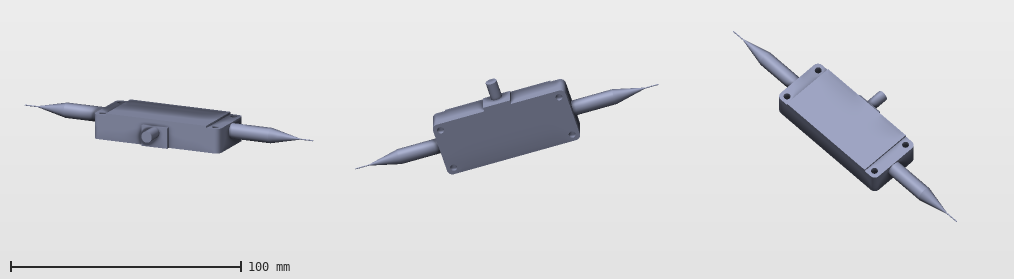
import cadquery as cq

housing_length = 60.5
housing_width = 25.3
housing_height = 11.0
corner_radius = 2.5

lid_length = 48.0
total_height = 12.0

screw_hole_diameter = 3.0
screw_pitch_x = 54.0
screw_pitch_y = 19.0

total_length = 138.0
sleeve_radius = 6.8 / 2
fibre_radius = 0.5 / 2
sleeve_end = 49.0
boot_end = 62.8
lead_y = 0.8
lead_z = 7.2

plate_width = 12.3
plate_height = 9.2
plate_thickness = 1.8
pin_diameter = 5.0
pin_z = 6.6
total_depth = 35.0

housing_front = -housing_width / 2
connector_reach = total_depth - housing_width


def make_housing():
    block = (
        cq.Workplane("XY")
        .box(housing_length, housing_width, housing_height, centered=(True, True, False))
        .edges("|Z")
        .fillet(corner_radius)
    )
    lid = cq.Workplane("XY").box(lid_length, housing_width, total_height, centered=(True, True, False))
    screw_holes = (
        cq.Workplane("XY")
        .rect(screw_pitch_x, screw_pitch_y, forConstruction=True)
        .vertices()
        .circle(screw_hole_diameter / 2)
        .extrude(total_height)
    )
    return block.union(lid).cut(screw_holes)


def make_leads():
    """Both leads as one profile, revolved about an axis along X through the housing."""
    half_length = total_length / 2
    return (
        cq.Workplane("XZ", origin=(0, lead_y, lead_z))
        .moveTo(-half_length, 0)
        .lineTo(-half_length, fibre_radius)
        .lineTo(-boot_end, fibre_radius)
        .lineTo(-sleeve_end, sleeve_radius)
        .lineTo(sleeve_end, sleeve_radius)
        .lineTo(boot_end, fibre_radius)
        .lineTo(half_length, fibre_radius)
        .lineTo(half_length, 0)
        .close()
        .revolve(360, (0, 0, 0), (1, 0, 0))
    )


def make_connector():
    plate = (
        cq.Workplane("XY", origin=(0, housing_front, 0))
        .box(plate_width, 2 * plate_thickness, plate_height, centered=(True, True, False))
    )
    pin = (
        cq.Workplane("XZ", origin=(0, housing_front, pin_z))
        .circle(pin_diameter / 2)
        .extrude(connector_reach)
    )
    return plate.union(pin)


result = make_housing().union(make_leads()).union(make_connector())